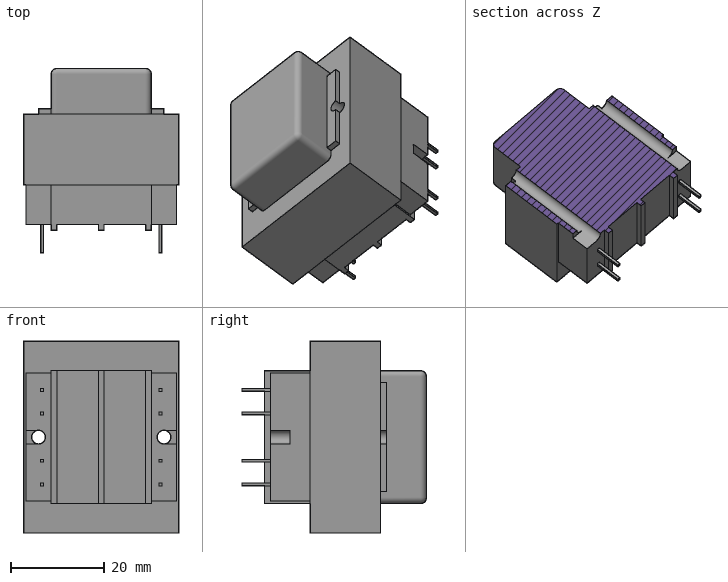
import cadquery as cq


CORE_WIDTH = 33.35
CORE_DEPTH = 15.19
CORE_HEIGHT = 41.27
CORE_FRONT = -CORE_DEPTH / 2
CORE_BACK = CORE_DEPTH / 2

WINDING_WIDTH = 21.59
WINDING_HEIGHT = 28.575
COVER_LENGTH = 9.85
COVER_RADIUS = 1.27

TERMINAL_WIDTH = 32.4
TERMINAL_HEIGHT = 27.5
TERMINAL_LENGTH = 8.53
TERMINAL_FACE = CORE_FRONT - TERMINAL_LENGTH

RIB_WIDTH = 1.27
RIB_LENGTH = 1.27
RIB_OFFSET = (WINDING_WIDTH - RIB_WIDTH) / 2

HOLE_DIAMETER = 2.9
HOLE_SPACING = 26.97
SLOT_DEPTH = 4.2
FLANGE_WIDTH = HOLE_SPACING
FLANGE_HEIGHT = 23.4
FLANGE_LENGTH = 1.2

PIN_SIZE = 0.64
PIN_LENGTH = 6.1
PIN_COLUMN_SPACING = 25.4
PIN_PITCH = 5.08
PIN_ROWS = (-2, -1, 1, 2)


def block(width, height, y_start, y_end, x=0, z=0):
    """Box centred on (x, z) that spans y_start to y_end."""
    return (
        cq.Workplane("XY")
        .box(width, y_end - y_start, height)
        .translate((x, (y_start + y_end) / 2, z))
    )


def make_core():
    return block(CORE_WIDTH, CORE_HEIGHT, CORE_FRONT, CORE_BACK)


def make_cover():
    """Winding cover, rounded along its free edges and back face."""
    cover = block(WINDING_WIDTH, WINDING_HEIGHT, CORE_BACK, CORE_BACK + COVER_LENGTH)
    return cover.edges("|Y or >Y").fillet(COVER_RADIUS)


def make_flange():
    return block(FLANGE_WIDTH, FLANGE_HEIGHT, CORE_BACK, CORE_BACK + FLANGE_LENGTH)


def make_terminal_side():
    """Terminal blocks, front of the winding and its standoff ribs."""
    body = block(TERMINAL_WIDTH, TERMINAL_HEIGHT, TERMINAL_FACE, CORE_FRONT)
    body = body.union(block(WINDING_WIDTH, WINDING_HEIGHT, TERMINAL_FACE, CORE_FRONT))
    for x in (-RIB_OFFSET, 0, RIB_OFFSET):
        rib = block(RIB_WIDTH, WINDING_HEIGHT, TERMINAL_FACE - RIB_LENGTH, TERMINAL_FACE, x)
        body = body.union(rib)
    return body


def cut_mounting(body):
    """Cut each through hole and the slot that opens it to the terminal side face."""
    slot_length = (TERMINAL_WIDTH - HOLE_SPACING) / 2
    slot_offset = (TERMINAL_WIDTH + HOLE_SPACING) / 4
    hole_length = TERMINAL_LENGTH + CORE_DEPTH + FLANGE_LENGTH
    for side in (-1, 1):
        hole = (
            cq.Workplane("XZ", origin=(side * HOLE_SPACING / 2, TERMINAL_FACE, 0))
            .circle(HOLE_DIAMETER / 2)
            .extrude(-hole_length)
        )
        slot = block(
            slot_length, HOLE_DIAMETER, TERMINAL_FACE, TERMINAL_FACE + SLOT_DEPTH, side * slot_offset
        )
        body = body.cut(hole).cut(slot)
    return body


def add_pins(body):
    for side in (-1, 1):
        for row in PIN_ROWS:
            pin = block(
                PIN_SIZE,
                PIN_SIZE,
                TERMINAL_FACE - PIN_LENGTH,
                TERMINAL_FACE,
                side * PIN_COLUMN_SPACING / 2,
                row * PIN_PITCH,
            )
            body = body.union(pin)
    return body


transformer = make_core().union(make_cover()).union(make_flange()).union(make_terminal_side())
result = add_pins(cut_mounting(transformer))